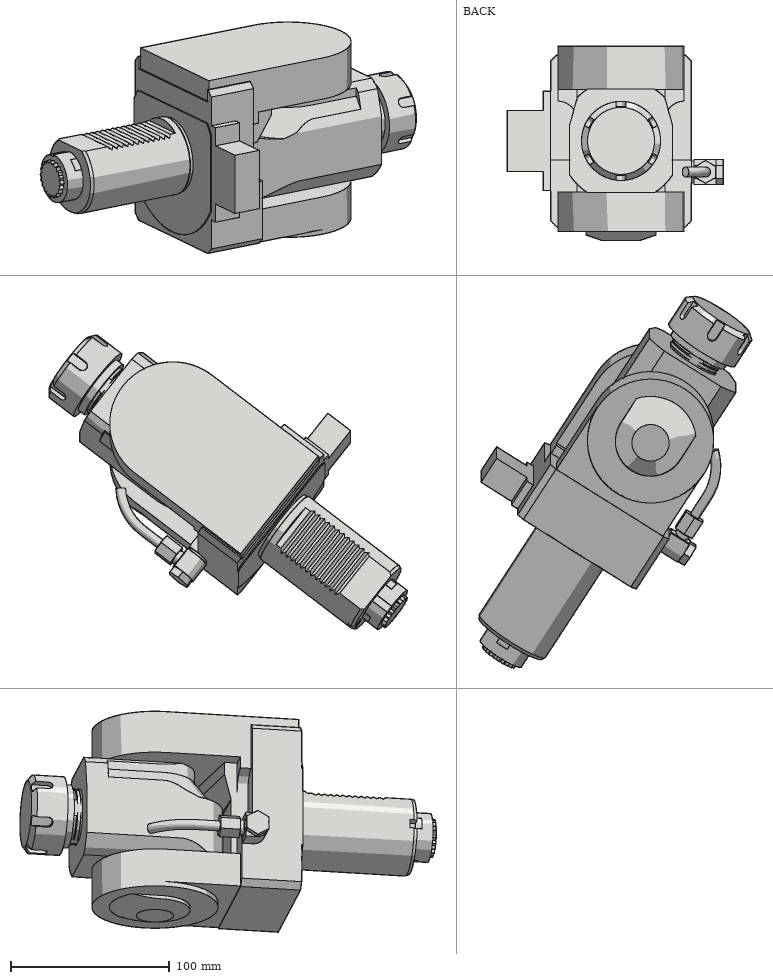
import cadquery as cq
import math


TOP_Z = 60.0
BLOCK_HALF_WIDTH = 44.5
BLOCK_TOP_Z = 54.2
BLOCK_BOTTOM_Z = -54.7
BLOCK_DEPTH = 31.7
BLOCK_LOWER_DEPTH = 38.5
BLOCK_STEP_Z = -12.0
BLOCK_TOP_CHAMFER = 3.7
BLOCK_BOTTOM_CHAMFER = 4.2
LEDGE_Z = 32.0
YOKE_RADIUS = 80.0 / 2
PIVOT_Y = 86.5
WALL_Y = 42.5
HEAD_HALF_WIDTH = 32.5
UPPER_ARM_Z = HEAD_HALF_WIDTH
LOWER_ARM_Z = -HEAD_HALF_WIDTH
LOWER_ARM_BOTTOM_Z = -54.2
PIVOT_DISC_BOTTOM_Z = -57.4
COVER_Z = 46.0
COVER_FRONT_Y = 1.0
FACE_DISC_RADIUS = 51.3
FACE_DISC_HEIGHT = 0.8
CORNICE_Z = 25.1
CORNICE_RADIUS = 12.0
WALL_HALF_WIDTH = YOKE_RADIUS - CORNICE_RADIUS
JOINT_OVERLAP = 0.3

GUSSET_TOE_Z = 7.9
GUSSET_KNEE_Z = 24.4
GUSSET_NEAR_Y = 46.5
GUSSET_FAR_Y = 56.0
GUSSET_FAR_TOE_Y = 45.0

CAP_RADIUS = 22.3
CAP_CONE_RADIUS = 28.8
CAP_TIP_RADIUS = 11.8
CAP_BOTTOM_Z = -63.0

HEAD_FRONT_Y = 136.0
HEAD_END_GAP = 0.8
HEAD_KNEE_Z = 27.5
HEAD_SIDE_TOP_Z = 10.2
HEAD_CORNER_RADIUS = 39.0
HEAD_RELIEF_END_Y = 121.5
RELIEF_RADIUS = 25.1
RELIEF_KNEE_Z = 24.4
RELIEF_FLOOR_RADIUS = 37.7
RELIEF_FLOOR_Z = 7.5

NUT_FRONT_Y = 169.5
NUT_RADIUS = 50.0 / 2
NUT_FRONT_RADIUS = 21.2
NUT_CHAMFER_Y = 166.3
NUT_BACK_Y = 146.7
NUT_SLOTS = 6
NUT_SLOT_WIDTH = 6.3
NUT_SLOT_END_Y = 155.8
NUT_SLOT_FLOOR = 21.7
NECK_RADIUS = 40.0 / 2
NECK_BACK_Y = 141.7
SPINDLE_RADIUS = 35.0 / 2
COLLAR_RADIUS = 36.0 / 2
COLLAR_FRONT_Y = 139.9
COLLAR_GROOVE_RADIUS = 17.0
COLLAR_GROOVE_WIDTH = 2.0
COLLAR_RIM = 0.8
COLLAR_FLATS = 4
COLLAR_FLAT_DISTANCE = 16.8

SHANK_RADIUS = 50.0 / 2
SHANK_UNDERCUT_RADIUS = 24.4
SHANK_UNDERCUT_END_Y = -3.1
SHANK_END_Y = -77.8
SHANK_CHAMFER = 2.0
SHANK_END_RADIUS = 24.0
FLAT_Z = 20.0
FLAT_START_Y = -8.0
TOOTH_COUNT = 12
TOOTH_PITCH = 4.0
TOOTH_DEPTH = 1.8
FIRST_TOOTH_Y = -14.0
SHANK_NOTCH_WIDTH = 5.5
SHANK_NOTCH_LENGTH = 4.7
SHANK_NOTCH_DEPTH = 7.5
BOSS_RADIUS = 31.2 / 2
BOSS_END_Y = -89.5
BOSS_SLOT_WIDTH = 4.7
BOSS_SLOT_X = -3.1
BOSS_SLOT_DEPTH = 1.3
LUG_COUNT = 3
LUG_ANGLE = 44
LUG_WIDTH = 8.0
LUG_LENGTH = 4.7
LUG_RADIUS = 15.7
SPLINE_RADIUS = 12.0
SPLINE_ROOT_RADIUS = 10.5
SPLINE_END_Y = -92.5
SPLINE_TEETH = 20

KEY_PLATE_THICKNESS = 4.7
KEY_PLATE_X = BLOCK_HALF_WIDTH + KEY_PLATE_THICKNESS
KEY_PLATE_HALF_HEIGHT = 31.5
KEY_X = 72.0
KEY_HALF_HEIGHT = 19.5
KEY_DEPTH = 18.3

ELBOW_Z = -19.6
ELBOW_END_X = -64.7
ELBOW_RADIUS = 16.0 / 2
ELBOW_COLLAR_RADIUS = 7.0
ELBOW_Y = BLOCK_DEPTH
ELBOW_HEX_LENGTH = 4.7
ELBOW_BODY_X = ELBOW_END_X + ELBOW_HEX_LENGTH
ELBOW_COLLAR_LENGTH = 1.5
ELBOW_COLLAR_X = -BLOCK_HALF_WIDTH - ELBOW_COLLAR_LENGTH
TUBE_X = -53.5
TUBE_RADIUS = 6.3 / 2
TUBE_NECK_RADIUS = 4.7
TUBE_NUT_START_Y = 42.0
TUBE_NUT_LENGTH = 12.5
TUBE_NUT_END_Y = TUBE_NUT_START_Y + TUBE_NUT_LENGTH
TUBE_NUT_DIAMETER = 14.5
HEX_SIDES = 6
TUBE_BEND_START_Y = 69.0
TUBE_BEND_RADIUS = 36.7
TUBE_BEND_ANGLE = 49


def box(x0, x1, y0, y1, z0, z1):
    """Box between opposite corner coordinates."""
    return cq.Workplane("XY").box(x1 - x0, y1 - y0, z1 - z0, centered=False).translate((x0, y0, z0))


def y_cylinder(radius, y0, y1, x=0, z=0):
    """Cylinder along Y between y0 and y1."""
    return cq.Workplane("XZ", origin=(0, y0, 0)).center(x, z).circle(radius).extrude(y0 - y1)


def y_revolve(points):
    """Solid of revolution about the Y axis from (radius, y) points."""
    return cq.Workplane("XY").polyline(points).close().revolve(360, (0, 0), (0, 1))


def y_prism(points, y0, y1):
    """Prism along Y from an (x, z) outline."""
    return cq.Workplane("XZ", origin=(0, y0, 0)).polyline(points).close().extrude(y0 - y1)


def yoke_arm(y_start, z0, z1):
    """Arm with straight sides and a round end concentric with the pivot."""
    arm = box(-YOKE_RADIUS, YOKE_RADIUS, y_start, PIVOT_Y, z0, z1)
    return arm.union(cq.Workplane("XY", origin=(0, PIVOT_Y, z0)).circle(YOKE_RADIUS).extrude(z1 - z0))


def mounting_block():
    """Chamfered block with a stepped back and a round face cut level with the ledge."""
    upper = box(-BLOCK_HALF_WIDTH, BLOCK_HALF_WIDTH, 0, BLOCK_DEPTH, BLOCK_BOTTOM_Z, BLOCK_TOP_Z)
    lower = box(-BLOCK_HALF_WIDTH, BLOCK_HALF_WIDTH, 0, BLOCK_LOWER_DEPTH, BLOCK_BOTTOM_Z, BLOCK_STEP_Z)
    block = upper.union(lower)
    block = block.edges("|Y").edges(">Z").chamfer(BLOCK_TOP_CHAMFER)
    block = block.edges("|Y").edges("<Z").chamfer(BLOCK_BOTTOM_CHAMFER)
    disc = y_cylinder(FACE_DISC_RADIUS, -FACE_DISC_HEIGHT, 0)
    disc = disc.intersect(
        box(-BLOCK_HALF_WIDTH, BLOCK_HALF_WIDTH, -FACE_DISC_HEIGHT, 0, -FACE_DISC_RADIUS, LEDGE_Z)
    )
    return block.union(disc)


def gusset():
    """Sloped gusset between the back wall and the upper arm, deeper at its +X end."""

    def profile(knee_y, toe_y):
        return [(BLOCK_DEPTH, UPPER_ARM_Z + JOINT_OVERLAP), (knee_y, UPPER_ARM_Z + JOINT_OVERLAP),
                (knee_y, GUSSET_KNEE_Z), (toe_y, GUSSET_TOE_Z), (BLOCK_DEPTH, GUSSET_TOE_Z)]

    near = cq.Workplane("YZ", origin=(-WALL_HALF_WIDTH, 0, 0))
    near = near.polyline(profile(GUSSET_NEAR_Y, WALL_Y)).close()
    far = near.workplane(offset=2 * WALL_HALF_WIDTH)
    return far.polyline(profile(GUSSET_FAR_Y, GUSSET_FAR_TOE_Y)).close().loft(ruled=True)


def cornice():
    """Overhang below the upper arm that blends into the narrower back wall with a hollow on each side."""
    hollow_z = CORNICE_Z - CORNICE_RADIUS
    block = box(-YOKE_RADIUS, YOKE_RADIUS, BLOCK_DEPTH, BLOCK_LOWER_DEPTH, hollow_z, UPPER_ARM_Z)
    for side in (-1, 1):
        block = block.cut(
            y_cylinder(CORNICE_RADIUS, BLOCK_DEPTH, BLOCK_LOWER_DEPTH, side * YOKE_RADIUS, hollow_z)
        )
    return block


def yoke():
    """Mounting block, two arms, back wall and pivot disc."""
    body = mounting_block()
    slot = box(-YOKE_RADIUS, YOKE_RADIUS, -FACE_DISC_HEIGHT, BLOCK_DEPTH, COVER_Z, TOP_Z)
    body = body.cut(slot).union(yoke_arm(COVER_FRONT_Y, COVER_Z, TOP_Z))
    body = body.union(yoke_arm(BLOCK_DEPTH, UPPER_ARM_Z, COVER_Z))
    body = body.union(
        box(-WALL_HALF_WIDTH, WALL_HALF_WIDTH, BLOCK_DEPTH, WALL_Y, LOWER_ARM_BOTTOM_Z, UPPER_ARM_Z)
    )
    body = body.union(cornice())
    body = body.union(yoke_arm(BLOCK_DEPTH, LOWER_ARM_BOTTOM_Z, LOWER_ARM_Z))
    body = body.union(gusset())
    disc_height = LOWER_ARM_BOTTOM_Z - PIVOT_DISC_BOTTOM_Z
    pivot_disc = cq.Workplane("XY", origin=(0, PIVOT_Y, PIVOT_DISC_BOTTOM_Z)).circle(YOKE_RADIUS)
    return body.union(pivot_disc.extrude(disc_height))


def pivot_cap():
    """Cone trimmed to a U outline that is round towards the shank and open towards the nut."""
    height = PIVOT_DISC_BOTTOM_Z - CAP_BOTTOM_Z
    cone = (
        cq.Workplane("XY", origin=(0, PIVOT_Y, PIVOT_DISC_BOTTOM_Z))
        .circle(CAP_CONE_RADIUS)
        .workplane(offset=-height)
        .circle(CAP_TIP_RADIUS)
        .loft()
    )
    trim = cq.Workplane("XY", origin=(0, PIVOT_Y, CAP_BOTTOM_Z)).circle(CAP_RADIUS).extrude(height)
    tail = box(-CAP_RADIUS, CAP_RADIUS, PIVOT_Y, PIVOT_Y + CAP_CONE_RADIUS, CAP_BOTTOM_Z, PIVOT_DISC_BOTTOM_Z)
    return cone.intersect(trim.union(tail))


def head_relief():
    """Space outside a vertical boss and cone around the pivot, carried straight along the head."""
    core_profile = [(0, RELIEF_FLOOR_Z), (RELIEF_FLOOR_RADIUS, RELIEF_FLOOR_Z),
                    (RELIEF_RADIUS, RELIEF_KNEE_Z), (RELIEF_RADIUS, HEAD_HALF_WIDTH + JOINT_OVERLAP),
                    (0, HEAD_HALF_WIDTH + JOINT_OVERLAP)]
    core = cq.Workplane("XZ").polyline(core_profile).close().revolve(360, (0, 0), (0, 1))
    core = core.translate((0, PIVOT_Y, 0))
    straight = core_profile[1:4] + [(-x, z) for x, z in reversed(core_profile[1:4])]
    core = core.union(y_prism(straight, PIVOT_Y, HEAD_RELIEF_END_Y))
    outer = box(-2 * HEAD_HALF_WIDTH, 2 * HEAD_HALF_WIDTH, 0, HEAD_RELIEF_END_Y,
                RELIEF_FLOOR_Z, HEAD_HALF_WIDTH + JOINT_OVERLAP)
    return outer.cut(core)


def head():
    """Head with a round rear end that turns between the yoke arms."""
    bottom = -HEAD_HALF_WIDTH - JOINT_OVERLAP
    top = HEAD_HALF_WIDTH + JOINT_OVERLAP
    end_center_y = WALL_Y + HEAD_END_GAP + HEAD_HALF_WIDTH
    end_y = end_center_y - HEAD_HALF_WIDTH

    knee_half_width = math.sqrt(HEAD_CORNER_RADIUS**2 - HEAD_KNEE_Z**2)
    side_profile = [(HEAD_HALF_WIDTH, bottom), (HEAD_HALF_WIDTH, HEAD_SIDE_TOP_Z),
                    (knee_half_width, HEAD_KNEE_Z), (knee_half_width, top)]
    section = side_profile + [(-x, z) for x, z in reversed(side_profile)]
    body = y_prism(section, end_y, HEAD_FRONT_Y)
    body = body.intersect(y_cylinder(HEAD_CORNER_RADIUS, end_y, HEAD_FRONT_Y))

    plan = box(-HEAD_HALF_WIDTH, HEAD_HALF_WIDTH, end_center_y, HEAD_FRONT_Y, bottom, top)
    plan = plan.union(
        cq.Workplane("XY", origin=(0, end_center_y, bottom)).circle(HEAD_HALF_WIDTH).extrude(top - bottom)
    )
    return body.intersect(plan).cut(head_relief())


def collet_nut():
    """Slotted collet nut with its neck and grooved collar."""
    nut = y_revolve([
        (0, HEAD_FRONT_Y), (COLLAR_RADIUS, HEAD_FRONT_Y), (COLLAR_RADIUS, COLLAR_FRONT_Y),
        (SPINDLE_RADIUS, COLLAR_FRONT_Y), (SPINDLE_RADIUS, NECK_BACK_Y), (NECK_RADIUS, NECK_BACK_Y),
        (NECK_RADIUS, NUT_BACK_Y), (NUT_RADIUS, NUT_BACK_Y), (NUT_RADIUS, NUT_CHAMFER_Y),
        (NUT_FRONT_RADIUS, NUT_FRONT_Y), (0, NUT_FRONT_Y),
    ])
    groove_start = COLLAR_FRONT_Y - COLLAR_RIM - COLLAR_GROOVE_WIDTH
    groove_end = COLLAR_FRONT_Y - COLLAR_RIM
    groove = y_cylinder(COLLAR_RADIUS, groove_start, groove_end)
    nut = nut.cut(groove.cut(y_cylinder(COLLAR_GROOVE_RADIUS, groove_start, groove_end)))

    flat = box(-COLLAR_RADIUS, COLLAR_RADIUS, HEAD_FRONT_Y, NECK_BACK_Y, COLLAR_FLAT_DISTANCE, COLLAR_RADIUS)
    for index in range(COLLAR_FLATS):
        nut = nut.cut(flat.rotate((0, 0, 0), (0, 1, 0), index * 360 / COLLAR_FLATS))

    half_slot = NUT_SLOT_WIDTH / 2
    slot_center_y = NUT_SLOT_END_Y + half_slot
    slot = box(-half_slot, half_slot, slot_center_y, NUT_FRONT_Y, NUT_SLOT_FLOOR, NUT_RADIUS)
    slot_end = cq.Workplane("XY", origin=(0, slot_center_y, NUT_SLOT_FLOOR)).circle(half_slot)
    slot = slot.union(slot_end.extrude(NUT_RADIUS - NUT_SLOT_FLOOR))
    for index in range(NUT_SLOTS):
        nut = nut.cut(slot.rotate((0, 0, 0), (0, 1, 0), index * 360 / NUT_SLOTS))
    return nut


def shank_body():
    """Round shank with a toothed flat on top and a locating notch at its end."""
    shank = y_revolve([
        (0, 0), (SHANK_UNDERCUT_RADIUS, 0), (SHANK_UNDERCUT_RADIUS, SHANK_UNDERCUT_END_Y),
        (SHANK_RADIUS, SHANK_UNDERCUT_END_Y), (SHANK_RADIUS, SHANK_END_Y + SHANK_CHAMFER),
        (SHANK_END_RADIUS, SHANK_END_Y), (0, SHANK_END_Y),
    ])
    shank = shank.cut(box(-SHANK_RADIUS, SHANK_RADIUS, SHANK_END_Y, FLAT_START_Y, FLAT_Z, SHANK_RADIUS))
    half_tooth = TOOTH_PITCH / 2
    groove = (
        cq.Workplane("YZ", origin=(-SHANK_RADIUS, 0, 0))
        .polyline([(-half_tooth, FLAT_Z), (0, FLAT_Z - TOOTH_DEPTH), (half_tooth, FLAT_Z)])
        .close()
        .extrude(2 * SHANK_RADIUS)
    )
    for index in range(TOOTH_COUNT):
        shank = shank.cut(groove.translate((0, FIRST_TOOTH_Y - index * TOOTH_PITCH, 0)))
    half_notch = SHANK_NOTCH_WIDTH / 2
    notch = box(-SHANK_RADIUS, -SHANK_RADIUS + SHANK_NOTCH_DEPTH,
                SHANK_END_Y, SHANK_END_Y + SHANK_NOTCH_LENGTH, -half_notch, half_notch)
    return shank.cut(notch)


def drive_end():
    """Boss with lugs and a splined stub at the end of the shank."""
    boss = y_cylinder(BOSS_RADIUS, BOSS_END_Y, SHANK_END_Y)
    boss = boss.cut(box(BOSS_SLOT_X - BOSS_SLOT_WIDTH / 2, BOSS_SLOT_X + BOSS_SLOT_WIDTH / 2,
                        BOSS_END_Y, SHANK_END_Y, BOSS_RADIUS - BOSS_SLOT_DEPTH, BOSS_RADIUS))
    lug = box(0, LUG_RADIUS, SHANK_END_Y - LUG_LENGTH, SHANK_END_Y, -LUG_WIDTH / 2, LUG_WIDTH / 2)
    lug = lug.intersect(y_cylinder(LUG_RADIUS, BOSS_END_Y, SHANK_END_Y))
    for index in range(LUG_COUNT):
        boss = boss.union(lug.rotate((0, 0, 0), (0, 1, 0), -LUG_ANGLE - index * 360 / LUG_COUNT))

    outline = []
    for index in range(2 * SPLINE_TEETH):
        radius = SPLINE_ROOT_RADIUS if index % 2 else SPLINE_RADIUS
        angle = math.pi * index / SPLINE_TEETH
        outline.append((radius * math.cos(angle), radius * math.sin(angle)))
    return boss.union(y_prism(outline, SPLINE_END_Y, BOSS_END_Y))


def side_key():
    """Key block on a plate at the +X side of the mounting block."""
    plate = box(YOKE_RADIUS, KEY_PLATE_X, 0, KEY_DEPTH, -KEY_PLATE_HALF_HEIGHT, KEY_PLATE_HALF_HEIGHT)
    return plate.union(box(KEY_PLATE_X, KEY_X, 0, KEY_DEPTH, -KEY_HALF_HEIGHT, KEY_HALF_HEIGHT))


def coolant_line():
    """Elbow fitting on the -X side with a nut and a bent tube."""

    def x_cylinder(radius, x0, x1):
        return cq.Workplane("YZ", origin=(x0, ELBOW_Y, ELBOW_Z)).circle(radius).extrude(x1 - x0)

    elbow = x_cylinder(ELBOW_RADIUS, ELBOW_BODY_X, ELBOW_COLLAR_X)
    elbow = elbow.union(x_cylinder(ELBOW_COLLAR_RADIUS, ELBOW_COLLAR_X, -BLOCK_HALF_WIDTH))
    hex_end = cq.Workplane("YZ", origin=(ELBOW_END_X, ELBOW_Y, ELBOW_Z)).transformed(rotate=(0, 0, 90))
    elbow = elbow.union(hex_end.polygon(HEX_SIDES, 2 * ELBOW_RADIUS).extrude(ELBOW_HEX_LENGTH))
    elbow = elbow.union(box(ELBOW_BODY_X, ELBOW_COLLAR_X, ELBOW_Y, BLOCK_LOWER_DEPTH,
                            ELBOW_Z - ELBOW_RADIUS, ELBOW_Z + ELBOW_RADIUS))
    elbow = elbow.union(y_cylinder(TUBE_NECK_RADIUS, ELBOW_Y, TUBE_NUT_START_Y, TUBE_X, ELBOW_Z))
    nut = cq.Workplane("XZ", origin=(TUBE_X, TUBE_NUT_START_Y, ELBOW_Z)).transformed(rotate=(0, 0, 90))
    nut = nut.polygon(HEX_SIDES, TUBE_NUT_DIAMETER).extrude(-TUBE_NUT_LENGTH)
    elbow = elbow.union(nut)

    bend = math.radians(TUBE_BEND_ANGLE)

    def bend_point(angle):
        return (TUBE_X + TUBE_BEND_RADIUS * (1 - math.cos(angle)),
                TUBE_BEND_START_Y + TUBE_BEND_RADIUS * math.sin(angle))

    path = (
        cq.Workplane("XY", origin=(0, 0, ELBOW_Z))
        .moveTo(TUBE_X, TUBE_NUT_END_Y)
        .lineTo(TUBE_X, TUBE_BEND_START_Y)
        .threePointArc(bend_point(bend / 2), bend_point(bend))
    )
    tube = cq.Workplane("XZ", origin=(TUBE_X, TUBE_NUT_END_Y, ELBOW_Z)).circle(TUBE_RADIUS).sweep(path)
    return elbow.union(tube)


result = yoke()
for piece in (pivot_cap(), head(), collet_nut(), shank_body(), drive_end(), side_key(), coolant_line()):
    result = result.union(piece)